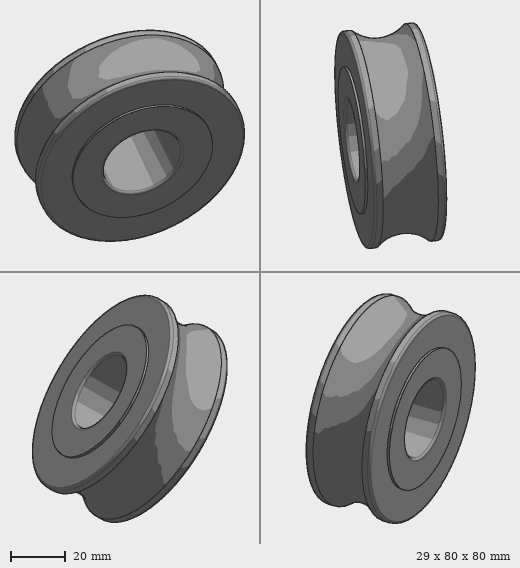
import cadquery as cq

outer_diameter = 80.0
rim_width = 27.0
hub_diameter = 54.0
hub_width = 29.0
bore_diameter = 30.0
edge_radius = 1.0
groove_radius = 15.0
groove_depth = 4.0

outer_radius = outer_diameter / 2


def disc(diameter, width):
    """Cylinder along X, centred on the origin."""
    return cq.Workplane("YZ").circle(diameter / 2).extrude(width / 2, both=True)


def groove_cutter():
    """Torus about the X axis that forms the rim groove."""
    ring_radius = outer_radius - groove_depth + groove_radius
    origin = cq.Vector(0, 0, 0)
    x_axis = cq.Vector(1, 0, 0)
    return cq.Workplane(cq.Solid.makeTorus(ring_radius, groove_radius, origin, x_axis))


rim = disc(outer_diameter, rim_width).faces("<X or >X").edges().fillet(edge_radius)

bore = disc(bore_diameter, hub_width)
hub = disc(hub_diameter, hub_width).cut(bore)
hub = hub.faces("<X or >X").edges(cq.selectors.RadiusNthSelector(0)).fillet(edge_radius)

result = rim.cut(groove_cutter()).cut(disc(hub_diameter, rim_width)).union(hub)